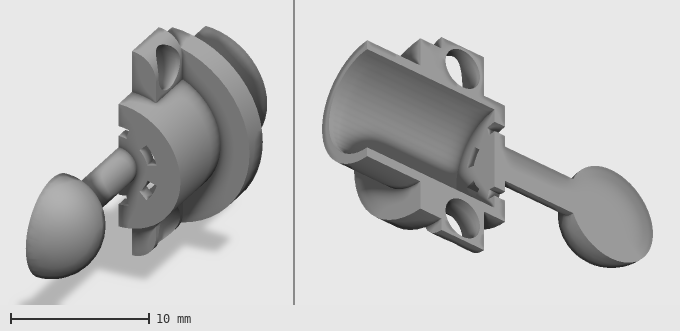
import cadquery as cq
import math

total_length = 26.9

body_radius = 5.1
body_length = 13.0
bore_radius = 4.33
end_wall = 1.0

flange_radius = 7.5
flange_start = 5.0
flange_width = 2.0
ear_half_height = 8.5
ear_thickness = 2.0
ear_width = 4.0
ear_start = flange_start + flange_width
ear_hole_radius = 1.61
ear_hole_height = 6.6

ball_radius = 3.9
stem_radius = 1.5
ball_center = total_length - ball_radius

slot_inner_radius = 2.45
slot_outer_radius = 3.25
slot_count = 6
slot_pitch = 360 / slot_count
slot_angle = slot_pitch / 2


def cylinder(radius, start, length):
    """Solid cylinder on the Y axis, running towards -Y from a distance start."""
    return cq.Workplane("XZ", origin=(0, -start, 0)).circle(radius).extrude(length)


def ears():
    """Plate across the sleeve, with its two outer edges rounded over the full thickness."""
    corner = ear_half_height - ear_thickness
    return (
        cq.Workplane("XZ", origin=(0, -ear_start, 0))
        .moveTo(0, -ear_half_height)
        .radiusArc((ear_thickness, -corner), -ear_thickness)
        .lineTo(ear_thickness, corner)
        .radiusArc((0, ear_half_height), -ear_thickness)
        .close()
        .extrude(ear_width)
    )


def ear_holes():
    """Holes along X through both ears."""
    return (
        cq.Workplane("YZ")
        .pushPoints([(-ear_start - ear_width / 2, side * ear_hole_height) for side in (-1, 1)])
        .circle(ear_hole_radius)
        .extrude(ear_thickness)
    )


def polar(radius, angle):
    """Point at an angle in degrees, measured from the X axis towards Z."""
    return (radius * math.cos(math.radians(angle)), radius * math.sin(math.radians(angle)))


def wall_slot(middle_angle):
    """Ring-sector slot through the end wall."""
    first = middle_angle - slot_angle / 2
    last = middle_angle + slot_angle / 2
    return (
        cq.Workplane("XZ", origin=(0, end_wall - body_length, 0))
        .moveTo(*polar(slot_inner_radius, first))
        .lineTo(*polar(slot_outer_radius, first))
        .threePointArc(polar(slot_outer_radius, middle_angle), polar(slot_outer_radius, last))
        .lineTo(*polar(slot_inner_radius, last))
        .threePointArc(polar(slot_inner_radius, middle_angle), polar(slot_inner_radius, first))
        .close()
        .extrude(end_wall)
    )


part = cylinder(body_radius, 0, body_length)
part = part.union(cylinder(flange_radius, flange_start, flange_width))
part = part.union(ears())
part = part.union(cylinder(stem_radius, body_length, ball_center - body_length))
part = part.union(cq.Workplane("XY").sphere(ball_radius).translate((0, -ball_center, 0)))

part = part.cut(cylinder(bore_radius, 0, body_length - end_wall))
part = part.cut(ear_holes())
for index in range(slot_count):
    part = part.cut(wall_slot(90 + index * slot_pitch))

half_space = cq.Workplane("XY").box(
    flange_radius, total_length, 2 * ear_half_height, centered=(False, False, True)
).translate((0, -total_length, 0))
result = part.intersect(half_space)